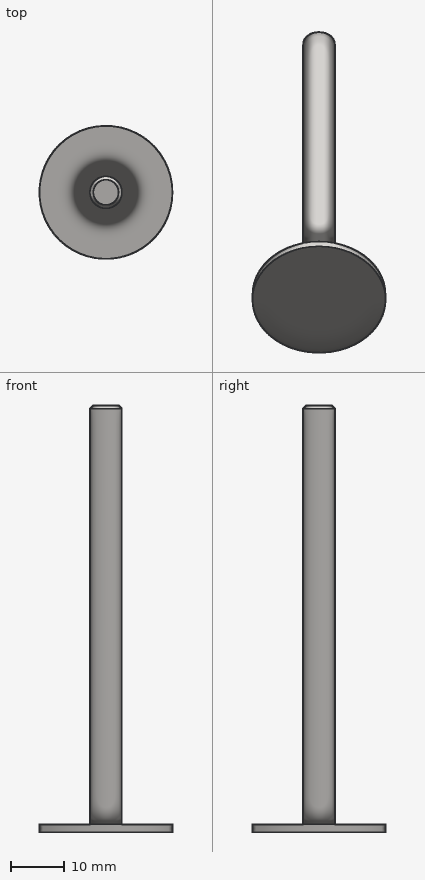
import cadquery as cq

total_height = 80.0
disc_diameter = 25.0
disc_thickness = 1.5
rod_diameter = 6.0
rod_chamfer = 0.6

rod_length = total_height - disc_thickness


def make_disc():
    """Flat round base, with its underside at Z = 0."""
    return cq.Workplane("XY").circle(disc_diameter / 2).extrude(disc_thickness)


def make_rod():
    """Upright rod standing on the disc, chamfered at its free end."""
    rod = (
        cq.Workplane("XY")
        .workplane(offset=disc_thickness)
        .circle(rod_diameter / 2)
        .extrude(rod_length)
    )
    return rod.faces(">Z").chamfer(rod_chamfer)


base_disc = make_disc()
upright_rod = make_rod()

result = cq.Compound.makeCompound([base_disc.val(), upright_rod.val()])